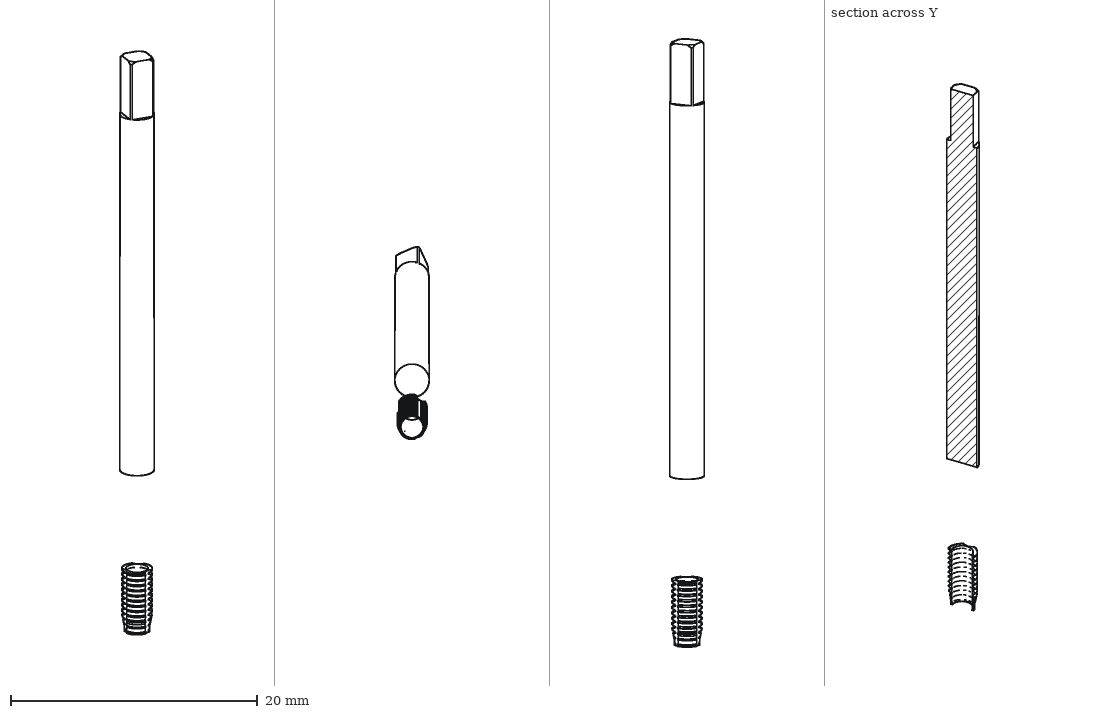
import cadquery as cq

shank_diameter = 2.8
shank_bottom = 14.0
overall_length = 50.0
square_side = 2.1
square_length = 5.0
top_chamfer = 0.2

thread_length = 5.4
thread_diameter = 2.5
root_diameter = 2.0
bore_diameter = 1.8
pitch = 0.45
crest_flat = 0.025
root_flat = 0.025
tip_diameter = 2.1
tip_length = 0.5
taper_length = 0.95
flute_count = 3
flute_radius = 0.75
flute_floor_radius = 0.975
first_flute_angle = -90.0
top_groove_height = 5.1
groove_count = 12


def make_shank():
    """Round shank with a square drive end whose corners keep the shank's roundness."""
    shank = (
        cq.Workplane("XY", origin=(0, 0, shank_bottom))
        .circle(shank_diameter / 2)
        .extrude(overall_length - shank_bottom)
        .faces(">Z")
        .chamfer(top_chamfer)
    )
    square_bottom = overall_length - square_length
    waste = (
        cq.Workplane("XY", origin=(0, 0, square_bottom))
        .rect(2 * shank_diameter, 2 * shank_diameter)
        .rect(square_side, square_side)
        .extrude(square_length)
    )
    return shank.cut(waste)


def make_blank():
    """Hollow cylinder with a tapered tip."""
    profile = [
        (bore_diameter / 2, 0),
        (tip_diameter / 2, 0),
        (tip_diameter / 2, tip_length),
        (thread_diameter / 2, tip_length + taper_length),
        (thread_diameter / 2, thread_length),
        (bore_diameter / 2, thread_length),
    ]
    return cq.Workplane("XZ").polyline(profile).close().revolve(360, (0, 0), (0, 1))


def make_groove(z):
    """V-shaped ring that leaves one gap between two teeth, centred on height z."""
    half_mouth = (pitch - crest_flat) / 2
    half_root = root_flat / 2
    profile = [
        (thread_diameter / 2, z - half_mouth),
        (root_diameter / 2, z - half_root),
        (root_diameter / 2, z + half_root),
        (thread_diameter / 2, z + half_mouth),
    ]
    return cq.Workplane("XZ").polyline(profile).close().revolve(360, (0, 0), (0, 1))


def make_thread():
    thread = make_blank()
    for i in range(groove_count):
        thread = thread.cut(make_groove(top_groove_height - i * pitch))
    flutes = (
        cq.Workplane("XY")
        .polarArray(flute_floor_radius + flute_radius, first_flute_angle, 360, flute_count)
        .circle(flute_radius)
        .extrude(thread_length)
    )
    return thread.cut(flutes)


shank = make_shank()
thread = make_thread()
result = cq.Compound.makeCompound([shank.val(), *thread.vals()])